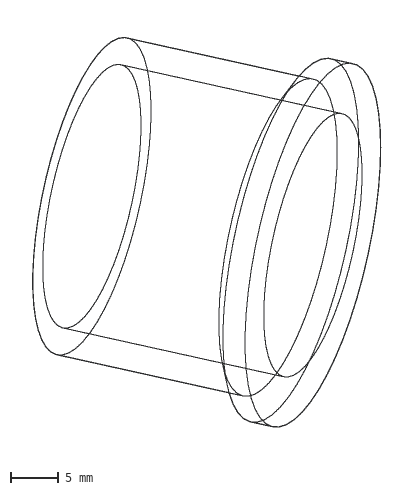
import cadquery as cq
import math

length = 25.0
bore_diameter = 28.4
tube_diameter = 34.2
flange_diameter = 39.2
rim_width = 2.5
cone_angle = 30.0

bore_radius = bore_diameter / 2
tube_radius = tube_diameter / 2
flange_radius = flange_diameter / 2
cone_width = (flange_radius - tube_radius) * math.tan(math.radians(cone_angle))
rim_start = length - rim_width
cone_start = rim_start - cone_width


def flanged_sleeve():
    """Revolve the wall section (X along the axis, Y as radius) about the X axis."""
    section = (
        cq.Workplane("XY")
        .moveTo(0, bore_radius)
        .lineTo(0, tube_radius)
        .lineTo(cone_start, tube_radius)
        .lineTo(rim_start, flange_radius)
        .lineTo(length, flange_radius)
        .lineTo(length, bore_radius)
        .close()
    )
    return section.revolve(360, (0, 0, 0), (1, 0, 0))


result = flanged_sleeve()